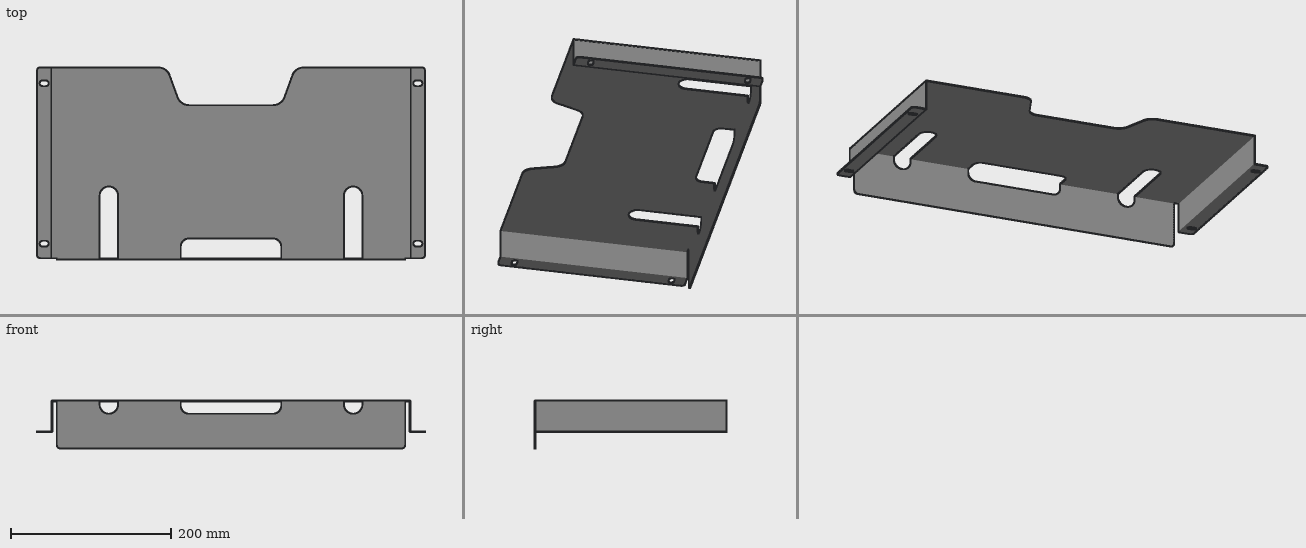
import cadquery as cq
import math

total_width = 485.0
total_depth = 240.0
total_height = 60.0
front_y = -total_depth / 2
back_y = total_depth / 2

sheet = 1.5
bend_inner_radius = 0.25
bend_outer_radius = bend_inner_radius + sheet
cover_width = 448.5
wall_height = 40.0
flap_width = 435.5
flange_corner_radius = 4.5
flap_corner_radius = 5.0
flange_z = total_height - wall_height
cover_front_y = front_y + bend_outer_radius

notch_depth = 47.0
notch_floor_half_width = 63.0
notch_flank_angle = 20.0
notch_radius = 15.0

opening_drop = 16.5
finger_slot_spacing = 305.0
finger_slot_width = 23.0
finger_slot_end_gap = 0.1
finger_slot_radius = (finger_slot_width - finger_slot_end_gap) / 2
finger_slot_length = 91.0
grip_width = 125.0
grip_depth = 26.0
grip_radius = 9.5

mount_slot_length = 11.0
mount_slot_width = 7.0
mount_slot_spacing_x = 466.5
mount_slot_spacing_y = 200.5


def round_bends(body, direction, corners, radius):
    """Fillet the edges parallel to an axis that lie nearest to the given corner points."""
    for corner in corners:
        edge = body.edges(direction).edges(cq.selectors.NearestToPointSelector(corner))
        body = edge.fillet(radius)
    return body


def hat_section():
    """Cover, two side walls and two outward flanges, folded along Y."""
    half_cover = cover_width / 2
    half_inside = half_cover - sheet
    half_total = total_width / 2
    cover_underside = total_height - sheet
    flange_top = flange_z + sheet
    right_half = [
        (half_cover, total_height),
        (half_cover, flange_top),
        (half_total, flange_top),
        (half_total, flange_z),
        (half_inside, flange_z),
        (half_inside, cover_underside),
    ]
    left_half = [(-x, z) for x, z in reversed(right_half)]
    length = back_y - cover_front_y
    body = (
        cq.Workplane("XZ", origin=(0, back_y, 0))
        .polyline(right_half + left_half)
        .close()
        .extrude(length)
    )
    middle_y = (back_y + cover_front_y) / 2
    outer_corners = []
    inner_corners = []
    for side in (-1, 1):
        outer_corners.append((side * half_cover, middle_y, total_height))
        outer_corners.append((side * half_inside, middle_y, flange_z))
        inner_corners.append((side * half_inside, middle_y, cover_underside))
        inner_corners.append((side * half_cover, middle_y, flange_top))
    body = round_bends(body, "|Y", inner_corners, bend_inner_radius)
    body = round_bends(body, "|Y", outer_corners, bend_outer_radius)
    return body.edges("|Z").edges("<X or >X").fillet(flange_corner_radius)


def front_flap():
    """Flap hanging from the front edge of the cover, including its bend."""
    inside_y = front_y + sheet
    cover_underside = total_height - sheet
    body = (
        cq.Workplane("YZ", origin=(-flap_width / 2, 0, 0))
        .moveTo(front_y, 0)
        .lineTo(front_y, total_height - bend_outer_radius)
        .radiusArc((cover_front_y, total_height), bend_outer_radius)
        .lineTo(cover_front_y, cover_underside)
        .radiusArc((inside_y, cover_underside - bend_inner_radius), -bend_inner_radius)
        .lineTo(inside_y, 0)
        .close()
        .extrude(flap_width)
    )
    return body.edges("|Y").edges("<Z").fillet(flap_corner_radius)


def back_notch():
    """Cutter for the notch, with rounded floor corners and rounded mouth corners."""
    angle = math.radians(notch_flank_angle)
    floor_y = back_y - notch_depth
    mouth_half_width = notch_floor_half_width + notch_depth * math.tan(angle)
    tangent = notch_radius * math.tan((math.pi / 2 - angle) / 2)
    along_x = tangent * math.sin(angle)
    along_y = tangent * math.cos(angle)
    floor_end = notch_floor_half_width - tangent
    mouth_end = mouth_half_width + tangent
    low = (notch_floor_half_width + along_x, floor_y + along_y)
    high = (mouth_half_width - along_x, back_y - along_y)
    return (
        cq.Workplane("XY")
        .moveTo(-floor_end, floor_y)
        .lineTo(floor_end, floor_y)
        .radiusArc(low, -notch_radius)
        .lineTo(*high)
        .radiusArc((mouth_end, back_y), notch_radius)
        .lineTo(-mouth_end, back_y)
        .radiusArc((-high[0], high[1]), notch_radius)
        .lineTo(-low[0], low[1])
        .radiusArc((-floor_end, floor_y), -notch_radius)
        .close()
        .extrude(total_height)
    )


def bend_opening(centre_x, width, depth, radius):
    """Cutter for an opening that runs back into the cover and down into the flap."""
    box = cq.Workplane("XY").box(width, depth, opening_drop, centered=(True, False, False))
    box = box.translate((centre_x, front_y, total_height - opening_drop))
    in_cover = box.edges("|Z and >Y").fillet(radius)
    in_flap = box.edges("|Y and <Z").fillet(radius)
    return in_cover.intersect(in_flap)


def mounting_slots():
    """Cutters for the four slots in the flanges."""
    return (
        cq.Workplane("XY", origin=(0, 0, flange_z))
        .rect(mount_slot_spacing_x, mount_slot_spacing_y, forConstruction=True)
        .vertices()
        .slot2D(mount_slot_length, mount_slot_width)
        .extrude(sheet)
    )


result = hat_section().union(front_flap())
result = result.cut(back_notch()).cut(mounting_slots())
result = result.cut(bend_opening(0, grip_width, grip_depth, grip_radius))
for side in (-1, 1):
    slot_x = side * finger_slot_spacing / 2
    result = result.cut(bend_opening(slot_x, finger_slot_width, finger_slot_length, finger_slot_radius))